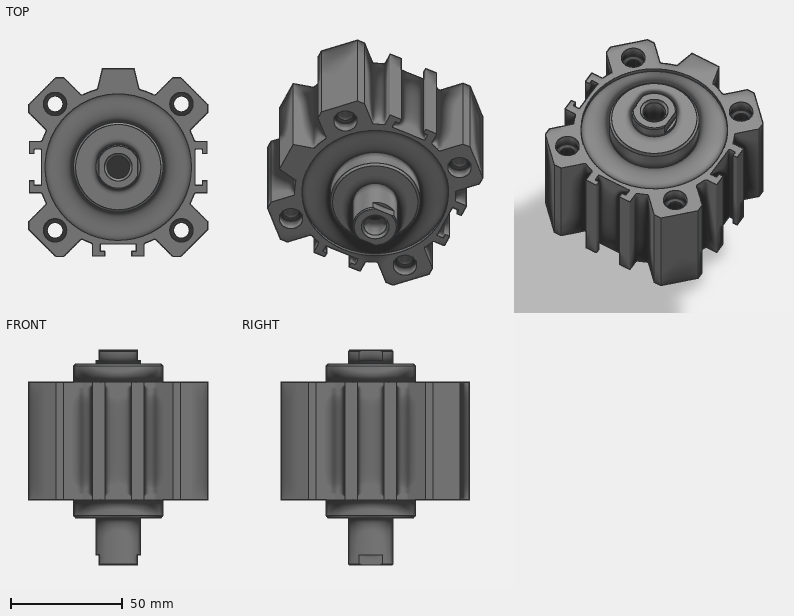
import cadquery as cq
import math

overall_width = 80.0
overall_depth = 84.0
overall_length = 96.0
housing_height = 52.6
half_width = overall_width / 2

barrel_diameter = 72.0
arm_width = 22.1
arm_reach = 48.0
root_radius = 1.0

foot_y = overall_depth - half_width
foot_tip_width = 14.2
foot_root_width = 21.5
foot_root_y = 28.8

rail_angles = (0, 90, -90)
rail_width = 23.0
rail_reach = 39.7
rail_edge_radius = 0.2
slot_width = 16.0
slot_mouth = 12.0
slot_floor = 34.4
lip_thickness = 2.2

recess_diameter = 65.5
recess_depth = 2.0
collar_diameter = 40.0
collar_height = 8.1
collar_chamfer = 1.0
mount_offset = 28.2
mount_diameter = 7.0
counterbore_diameter = 10.5
counterbore_depth = 6.3

rod_diameter = 20.0
rod_top = 14.2
rod_chamfer = 0.6
flat_width = 17.1
flat_length = 4.6
socket_diameter = 10.1
socket_mouth = 12.4
socket_depth = 14.4

rod_bottom = housing_height + rod_top - overall_length
mid_height = housing_height / 2
tolerance = 0.01


def turned(shape, angle):
    """Shape turned about the cylinder axis by an angle in degrees."""
    return shape.rotate((0, 0, 0), (0, 0, 1), angle)


def mirrored_ends(shape):
    """Shape at the upper end of the housing together with its mirror image at the lower end."""
    return shape.union(shape.mirror("XY", (0, 0, mid_height)))


def make_barrel():
    return cq.Workplane("XY").circle(barrel_diameter / 2).extrude(housing_height)


def make_arms():
    """Two crossed diagonal bars, trimmed to a square so that their corners are cut off flat."""
    bar = cq.Workplane("XY").rect(2 * arm_reach, arm_width).extrude(housing_height)
    cross = turned(bar, 45).union(turned(bar, 135))
    envelope = cq.Workplane("XY").rect(overall_width, overall_width).extrude(housing_height)
    return cross.intersect(envelope)


def make_foot():
    return (
        cq.Workplane("XY")
        .polyline([
            (-foot_root_width / 2, foot_root_y),
            (-foot_tip_width / 2, foot_y),
            (foot_tip_width / 2, foot_y),
            (foot_root_width / 2, foot_root_y),
        ])
        .close()
        .extrude(housing_height)
    )


def make_rail():
    """Solid rail block pointing to -Y."""
    return (
        cq.Workplane("XY")
        .center(0, -rail_reach / 2)
        .rect(rail_width, rail_reach)
        .extrude(housing_height)
        .edges("|Z and <Y")
        .fillet(rail_edge_radius)
    )


def make_slot():
    """T-slot cutter of a rail pointing to -Y."""
    lip_y = rail_reach - lip_thickness
    wide = (
        cq.Workplane("XY")
        .center(0, -(slot_floor + lip_y) / 2)
        .rect(slot_width, lip_y - slot_floor)
        .extrude(housing_height)
    )
    mouth = (
        cq.Workplane("XY")
        .center(0, -(slot_floor + rail_reach) / 2)
        .rect(slot_mouth, rail_reach - slot_floor)
        .extrude(housing_height)
    )
    return wide.union(mouth)


def add_rail(body):
    """Body with a slotted rail added on its -Y side and the edges of the slot rounded."""
    slotted = body.union(make_rail()).cut(make_slot())
    slot_zone = cq.selectors.BoxSelector(
        (-slot_width / 2 - tolerance, -rail_reach - tolerance, 0),
        (slot_width / 2 + tolerance, -slot_floor + tolerance, housing_height),
    )
    upright = cq.selectors.ParallelDirSelector(cq.Vector(0, 0, 1))
    return slotted.edges(upright & slot_zone).fillet(rail_edge_radius)


def round_roots(body):
    """Round the vertical edges that lie on the barrel surface."""
    roots = [
        edge for edge in body.edges("|Z").vals()
        if abs(math.hypot(edge.Center().x, edge.Center().y) - barrel_diameter / 2) < tolerance
    ]
    return body.newObject(roots).fillet(root_radius)


def cut_mounts(body):
    """Through holes in the arms, counterbored at both ends."""
    offsets = (-mount_offset, mount_offset)
    mounts = [(x, y) for x in offsets for y in offsets]
    through = cq.Workplane("XY").pushPoints(mounts).circle(mount_diameter / 2).extrude(housing_height)
    bores = (
        cq.Workplane("XY", origin=(0, 0, housing_height))
        .pushPoints(mounts)
        .circle(counterbore_diameter / 2)
        .extrude(-counterbore_depth)
    )
    return body.cut(through).cut(mirrored_ends(bores))


def make_housing():
    body = make_barrel().union(make_arms()).union(make_foot())
    for angle in rail_angles:
        body = turned(add_rail(turned(body, -angle)), angle)
    body = round_roots(body)

    recess = (
        cq.Workplane("XY", origin=(0, 0, housing_height))
        .circle(recess_diameter / 2)
        .extrude(-recess_depth)
    )
    body = body.cut(mirrored_ends(recess))

    collar = (
        cq.Workplane("XY", origin=(0, 0, housing_height - recess_depth))
        .circle(collar_diameter / 2)
        .extrude(recess_depth + collar_height)
        .faces(">Z")
        .chamfer(collar_chamfer)
    )
    body = body.union(mirrored_ends(collar))

    body = cut_mounts(body)
    rod_hole = cq.Workplane("XY", origin=(0, 0, rod_bottom)).circle(rod_diameter / 2).extrude(overall_length)
    return body.cut(rod_hole)


def cut_flats(rod):
    """Two parallel wrench flats at each end of a rod that stands on z = 0."""
    flat_depth = (rod_diameter - flat_width) / 2
    flat_x = (rod_diameter + flat_width) / 4
    for z in (flat_length / 2, overall_length - flat_length / 2):
        for x in (-flat_x, flat_x):
            cutter = cq.Workplane("XY").box(flat_depth, rod_diameter, flat_length)
            rod = rod.cut(cutter.translate((x, 0, z)))
    return rod


def cut_sockets(rod):
    """Countersunk blind socket in each end of a rod that stands on z = 0."""
    countersink_depth = (socket_mouth - socket_diameter) / 2
    socket = (
        cq.Workplane("XZ")
        .polyline([
            (0, 0),
            (socket_mouth / 2, 0),
            (socket_diameter / 2, countersink_depth),
            (socket_diameter / 2, socket_depth),
            (0, socket_depth),
        ])
        .close()
        .revolve(360, (0, 0), (0, 1))
    )
    return rod.cut(socket).cut(socket.mirror("XY", (0, 0, overall_length / 2)))


def make_rod():
    rod = (
        cq.Workplane("XY")
        .circle(rod_diameter / 2)
        .extrude(overall_length)
        .faces("<Z or >Z")
        .chamfer(rod_chamfer)
    )
    return cut_sockets(cut_flats(rod)).translate((0, 0, rod_bottom))


housing = make_housing()
rod = make_rod()
result = cq.Compound.makeCompound([housing.val(), rod.val()])